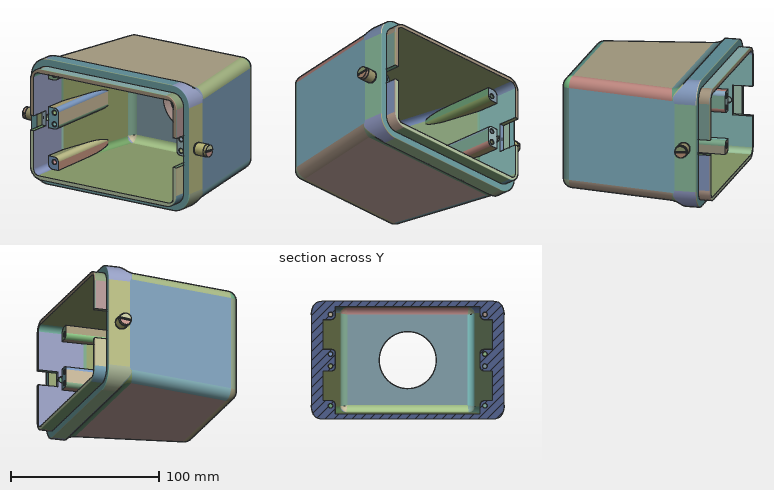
import cadquery as cq
import math

depth = 106.0
pin_span = 150.8

lip_width = 120.5
lip_height = 78.3
lip_length = 8.1
lip_corner_radius = 8.7
lip_edge_round = 0.3
lip_overlap = 1.5

flange_width = 130.3
flange_height = 88.5
flange_corner_radius = 13.9
flange_edge_round = 0.5
shoulder_base = 9.0
shoulder_radius = 9.7
shoulder_edge_round = 1.5

body_height = 78.3
body_edge_round = 7.0
taper_start = 15.2
side_taper = math.radians(10.7)

mouth_width = 114.6
mouth_height = 72.7
mouth_draft = math.radians(1.0)
cavity_taper_start = 33.2
back_wall = 8.1
cavity_back_height = 70.5
cavity_corner_round = 3.9
cavity_floor_round = 4.8
cavity_knee_round = 12.0
cable_hole_diameter = 38.3

post_front = 16.7
post_hole_x = 52.0
post_reach = 3.3
corner_post_hole_z = 30.8
corner_post_below = 3.6
corner_post_round = 3.3
middle_post_hole_z = 4.0
middle_post_half = 7.4
middle_post_round = 2.9
screw_hole_diameter = 3.0
screw_hole_depth = 12.0
screw_hole_chamfer = 0.3

left_notch_height = 10.5
right_notch_height = 20.8
notch_depth = 13.9

wall_bore_diameter = 4.5
wall_bore_depth = 2.3

pin_setback = 8.6
pin_diameter = 8.7
pin_end_diameter = 8.1
pin_neck_length = 0.8
pin_tip_length = 2.3
pin_slot_width = 0.9
pin_slot_depth = 0.9
pin_slot_tilt = 6.0

selection_margin = 0.2

flange_front = lip_length
pin_y = flange_front + pin_setback
taper_y = flange_front + taper_start
lean = math.tan(side_taper)
body_back_half = flange_width / 2 - (depth - taper_y) * lean
cavity_knee_half = mouth_width / 2 - cavity_taper_start * math.tan(mouth_draft)
body_front_half = body_back_half + (depth - flange_front) * lean
cavity_floor = depth - back_wall
cavity_back_half = cavity_knee_half - (cavity_floor - cavity_taper_start) * lean


def block(x0, x1, y0, y1, z0, z1):
    return cq.Workplane("XY").box(x1 - x0, y1 - y0, z1 - z0, centered=False).translate((x0, y0, z0))


def rounded_prism(width, height, radius, y0, y1):
    """Rectangle with rounded corners, extruded along Y."""
    return block(-width / 2, width / 2, y0, y1, -height / 2, height / 2).edges("|Y").fillet(radius)


def trapezoid(half_front, half_back, y0, y1, height):
    """Symmetric trapezoid in XY, extruded along Z."""
    outline = [(-half_front, y0), (half_front, y0), (half_back, y1), (-half_back, y1)]
    return cq.Workplane("XY").polyline(outline).close().extrude(height / 2, both=True)


def make_housing():
    """Body and flange as one solid, joined by a concave shoulder."""
    body = trapezoid(body_front_half, body_back_half, flange_front, depth, body_height)
    body = body.faces("<X or >X or >Y").edges("not(<Y)").fillet(body_edge_round)

    plate_back = flange_front + shoulder_base
    plate_reach = flange_width
    plate = block(-plate_reach, plate_reach, flange_front, plate_back, -plate_reach, plate_reach)
    body_reach = (body_front_half + plate_reach) / 2
    around_body = cq.selectors.BoxSelector(
        (-body_reach, plate_back - selection_margin, -body_reach),
        (body_reach, plate_back + selection_margin, body_reach),
        boundingbox=True,
    )
    housing = body.union(plate).edges(around_body).fillet(shoulder_radius)
    outline = rounded_prism(flange_width, flange_height, flange_corner_radius, flange_front, depth)
    housing = housing.intersect(outline)
    housing = housing.faces(">Z or <Z").edges("|X").edges(">Y").fillet(shoulder_edge_round)

    lean_limits = trapezoid(body_front_half, body_back_half, flange_front, depth, 2 * flange_height)
    housing = housing.intersect(lean_limits)
    return housing.faces("<Y").edges().fillet(flange_edge_round)


def make_lip():
    lip = rounded_prism(lip_width, lip_height, lip_corner_radius, 0, flange_front + lip_overlap)
    return lip.faces("<Y").edges().fillet(lip_edge_round)


def make_cavity():
    side_outline = [
        (-mouth_width / 2, 0),
        (mouth_width / 2, 0),
        (cavity_knee_half, cavity_taper_start),
        (cavity_back_half, cavity_floor),
        (-cavity_back_half, cavity_floor),
        (-cavity_knee_half, cavity_taper_start),
    ]
    plan = cq.Workplane("XY").polyline(side_outline).close().extrude(mouth_height, both=True)
    profile_outline = [
        (0, -mouth_height / 2),
        (0, mouth_height / 2),
        (cavity_floor, cavity_back_height / 2),
        (cavity_floor, -cavity_back_height / 2),
    ]
    profile = cq.Workplane("YZ").polyline(profile_outline).close().extrude(mouth_width, both=True)
    cavity = plan.intersect(profile)
    knees = cq.selectors.BoxSelector(
        (-mouth_width, cavity_taper_start - selection_margin, -mouth_height),
        (mouth_width, cavity_taper_start + selection_margin, mouth_height),
    )
    cavity = cavity.edges("|Z").edges(knees).fillet(cavity_knee_round)
    cavity = cavity.faces(">Y").edges().fillet(cavity_floor_round)
    return cavity.faces("<Z or >Z").edges("not(<Y)").edges("not(|X)").fillet(cavity_corner_round)


def make_posts(cavity):
    """Corner and middle posts, trimmed to run into the cavity walls and floor."""
    inner_x = post_hole_x - post_reach
    corner_z = corner_post_hole_z - corner_post_below
    middle = block(inner_x, mouth_width / 2, post_front, depth, -middle_post_half, middle_post_half)
    middle = middle.edges("|Y and <X").fillet(middle_post_round)
    corner = block(inner_x, mouth_width / 2, post_front, depth, corner_z, mouth_height / 2)
    corner = corner.edges("|Y and <X and <Z").fillet(corner_post_round)
    side_posts = middle.union(corner).union(corner.mirror("XY"))
    return side_posts.union(side_posts.mirror("YZ")).intersect(cavity)


def make_screw_holes():
    radius = screw_hole_diameter / 2
    rim = radius + screw_hole_chamfer
    outline = [
        (0, 0),
        (rim, 0),
        (radius, screw_hole_chamfer),
        (radius, screw_hole_depth),
        (0, screw_hole_depth),
    ]
    hole = cq.Workplane("XY").polyline(outline).close().revolve(360, (0, 0), (0, 1))
    holes = cq.Workplane("XY")
    for x in (-post_hole_x, post_hole_x):
        for z in (-corner_post_hole_z, -middle_post_hole_z, middle_post_hole_z, corner_post_hole_z):
            holes = holes.union(hole.translate((x, post_front, z)))
    return holes


def make_notches():
    """Slots through the lip that carry on into the flange's inner wall."""
    inner, outer = post_hole_x + post_reach, lip_width / 2
    left = block(-outer, -inner, 0, notch_depth, -left_notch_height / 2, left_notch_height / 2)
    right = block(inner, outer, 0, notch_depth, -right_notch_height / 2, right_notch_height / 2)
    return left.union(right)


def make_pin():
    """Locking pin on the +X side: thin neck, thick barrel, thin slotted tip."""
    start = mouth_width / 2 + wall_bore_depth
    tip = pin_span / 2
    barrel_start = flange_width / 2 + pin_neck_length
    barrel_length = tip - pin_tip_length - barrel_start
    pin = cq.Workplane("YZ").circle(pin_end_diameter / 2).extrude(tip - start).translate((start, 0, 0))
    barrel = cq.Workplane("YZ").circle(pin_diameter / 2).extrude(barrel_length)
    slot = cq.Workplane("XY").box(2 * pin_slot_depth, 2 * pin_diameter, pin_slot_width)
    slot = slot.rotate((0, 0, 0), (1, 0, 0), -pin_slot_tilt).translate((tip, 0, 0))
    return pin.union(barrel.translate((barrel_start, 0, 0))).cut(slot).translate((0, pin_y, 0))


def make_wall_bores():
    reach = mouth_width / 2 + wall_bore_depth
    bore = cq.Workplane("YZ").circle(wall_bore_diameter / 2).extrude(reach, both=True)
    return bore.translate((0, pin_y, 0))


cavity = make_cavity()
cable_hole = cq.Workplane("XZ").circle(cable_hole_diameter / 2).extrude(-2 * depth)
pin = make_pin()

result = make_housing().union(make_lip()).cut(cavity)
result = result.cut(make_wall_bores()).union(make_posts(cavity))
result = result.union(pin).union(pin.mirror("YZ"))
result = result.cut(make_screw_holes()).cut(make_notches()).cut(cable_hole)